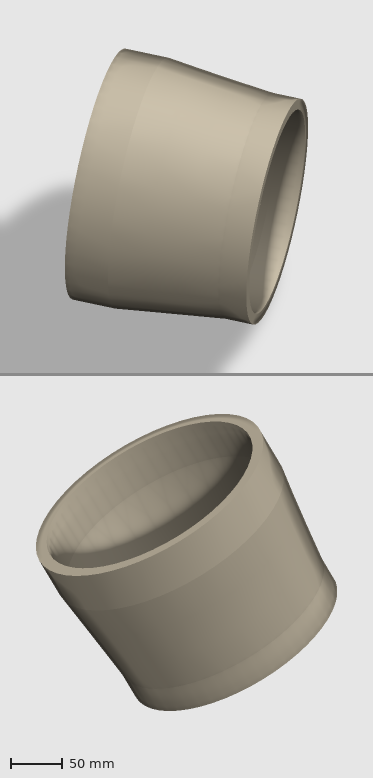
import cadquery as cq

total_length = 180.0
wide_collar_length = 43.5
narrow_collar_length = 28.0
wide_outer_diameter = 250.0
wide_bore_diameter = 226.2
narrow_outer_diameter = 225.0
narrow_bore_diameter = 203.5

cone_end = total_length - narrow_collar_length


def reducer_solid(wide_diameter, narrow_diameter):
    """Solid of revolution about X with a cone between two cylinders."""
    wide_radius = wide_diameter / 2
    narrow_radius = narrow_diameter / 2
    return (
        cq.Workplane("XY")
        .moveTo(0, 0)
        .lineTo(0, wide_radius)
        .lineTo(wide_collar_length, wide_radius)
        .lineTo(cone_end, narrow_radius)
        .lineTo(total_length, narrow_radius)
        .lineTo(total_length, 0)
        .close()
        .revolve(360, (0, 0, 0), (1, 0, 0))
    )


body = reducer_solid(wide_outer_diameter, narrow_outer_diameter)
bore = reducer_solid(wide_bore_diameter, narrow_bore_diameter)
result = body.cut(bore)